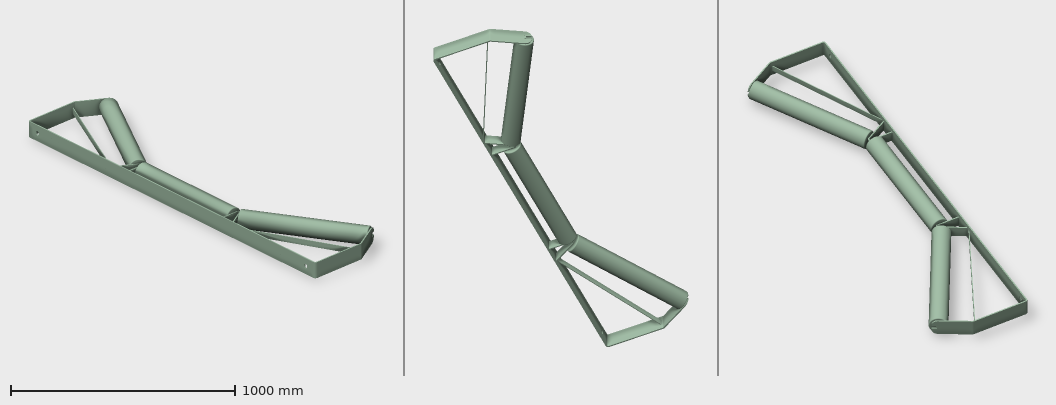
import cadquery as cq
import math


frame_length = 1890.0
bar_height = 80.0
bar_thickness = 6.0
frame_bend_radius = 10.0
trough_angle = 30.0

roller_diameter = 89.0
roller_length = 605.0
roller_edge_radius = 4.0
roller_gap = 4.0
shaft_diameter = 17.0

center_roller_y = 98.0
side_roller_x = 597.0
side_roller_y = 259.0
inner_end_z = -5.0
roller_drop = 8.0

leg_tip_reach = 32.0
leg_tip_radius = 30.0
bracket_top_y = 123.0
bracket_height = 51.0
bracket_bend_radius = 5.0

brace_thickness = 4.0
brace_height = 28.0
brace_foot_x = 406.0
brace_head_y = 268.0

hole_width = 17.0
hole_height = 23.0
hole_inset = 62.0

half_length = frame_length / 2
half_bar = bar_thickness / 2
slope = math.radians(trough_angle)
tilt = math.degrees(math.asin(roller_drop / roller_length))
support_offset = roller_length / 2 + roller_gap + half_bar
shaft_length = 2 * (support_offset + half_bar)
side_roller_z = inner_end_z + roller_drop / 2

along_x = cq.Vector(1, 0, 0)

axis_x, axis_y = -math.cos(slope), math.sin(slope)
leg_x, leg_y = math.sin(slope), math.cos(slope)


def on_left_side(along_axis, along_leg):
    """XY point given relative to the middle of the left roller."""
    return (
        -side_roller_x + along_axis * axis_x + along_leg * leg_x,
        side_roller_y + along_axis * axis_y + along_leg * leg_y,
    )


def sloped_leg_at_x(along_axis, x):
    """XY point where the sloped line at a distance along the roller axis reaches x."""
    start_x, start_y = on_left_side(along_axis, 0)
    return (x, start_y + (x - start_x) * leg_y / leg_x)


def sloped_leg_at_y(along_axis, y):
    """XY point where the sloped line at a distance along the roller axis reaches y."""
    start_x, start_y = on_left_side(along_axis, 0)
    return (start_x + (y - start_y) * leg_x / leg_y, y)


def mirrored(body):
    return body.mirror("YZ")


def bent_bar(points, height, bend_radius):
    """Flat bar standing on edge that follows the middle line through the points."""
    line = cq.Wire.makePolygon([cq.Vector(x, y, 0) for x, y in points])
    bends = line.Vertices()[1:-1]
    path = line.fillet(bend_radius, bends)
    direction = cq.Vector(points[1][0] - points[0][0], points[1][1] - points[0][1], 0)
    start = cq.Plane((*points[0], 0), xDir=(0, 0, 1), normal=direction.toTuple())
    return cq.Workplane(start).rect(height, bar_thickness).sweep(cq.Workplane(path))


def make_roller():
    """Roller along X, with rounded ends and a shaft sticking out at both ends."""
    shell = (
        cq.Workplane("XY")
        .cylinder(roller_length, roller_diameter / 2, direct=along_x)
        .edges("%CIRCLE")
        .fillet(roller_edge_radius)
    )
    return shell.union(make_shaft())


def make_shaft():
    return cq.Workplane("XY").cylinder(shaft_length, shaft_diameter / 2, direct=along_x)


def place_center(body):
    return body.translate((0, center_roller_y, inner_end_z))


def place_left(body):
    """Tilt a body lying along X so that its outer end is higher, then slope and move it."""
    return (
        body.rotate((0, 0, 0), (0, 1, 0), tilt)
        .rotate((0, 0, 0), (0, 0, 1), -trough_angle)
        .translate((-side_roller_x, side_roller_y, side_roller_z))
    )


def make_frame():
    """Base bar with an upright and a sloped leg at both ends, from one bent bar."""
    left = [
        on_left_side(support_offset, leg_tip_reach),
        sloped_leg_at_x(support_offset, -half_length + half_bar),
        (-half_length + half_bar, half_bar),
    ]
    right = [(-x, y) for x, y in reversed(left)]
    frame = round_leg_tips(bent_bar(left + right, bar_height, frame_bend_radius))
    slot = make_leg_slot()
    return frame.cut(slot).cut(mirrored(slot)).cut(make_mounting_holes())


def round_leg_tips(frame):
    tip_x, tip_y = on_left_side(support_offset, leg_tip_reach)
    for x in (tip_x, -tip_x):
        for z in (-bar_height / 2, bar_height / 2):
            corner = cq.selectors.NearestToPointSelector((x, tip_y, z))
            frame = frame.edges(corner).fillet(leg_tip_radius)
    return frame


def make_leg_slot():
    """Cutter for the slot that runs from the shaft seat out through the left leg's tip."""
    seat_z = side_roller_z + support_offset * math.sin(math.radians(tilt))
    seat_x, seat_y = on_left_side(support_offset, 0)
    seat = cq.Plane((seat_x, seat_y, seat_z), xDir=(leg_x, leg_y, 0), normal=(axis_x, axis_y, 0))
    slot_length = 2 * leg_tip_reach
    channel = (
        cq.Workplane(seat)
        .center(slot_length / 2, 0)
        .rect(slot_length, shaft_diameter)
        .extrude(bar_thickness, both=True)
    )
    return channel.union(place_left(make_shaft()))


def make_mounting_holes():
    hole_x = half_length - hole_inset
    return (
        cq.Workplane("XZ")
        .pushPoints([(-hole_x, 0), (hole_x, 0)])
        .slot2D(hole_height, hole_width, 90)
        .extrude(bar_thickness, both=True)
    )


def space_behind_base():
    """Block that fills the frame's inside, used to trim the ends of bars that meet it."""
    inside = half_length - bar_thickness
    return (
        cq.Workplane("XY")
        .rect(2 * inside, frame_length)
        .extrude(bar_height, both=True)
        .translate((0, frame_length / 2 + bar_thickness, 0))
    )


def make_left_bracket():
    """Bent bar with one leg beside the center roller and a sloped one beside the left roller."""
    top_y = bracket_top_y - half_bar
    bracket = bent_bar(
        [
            (-support_offset, 0),
            (-support_offset, top_y),
            sloped_leg_at_y(-support_offset, top_y),
            sloped_leg_at_y(-support_offset, 0),
        ],
        bracket_height,
        bracket_bend_radius,
    )
    bracket = bracket.translate((0, 0, inner_end_z))
    for shaft in (place_center(make_shaft()), place_left(make_shaft())):
        bracket = bracket.cut(shaft)
    return bracket.intersect(space_behind_base())


def make_left_brace():
    """Thin bar from the base bar up to the left upright."""
    foot = cq.Vector(-brace_foot_x, bar_thickness, 0)
    head = cq.Vector(-half_length + bar_thickness, brace_head_y, 0)
    line = head - foot
    brace = (
        cq.Workplane(cq.Plane(foot.add(head) / 2, xDir=line, normal=(0, 0, 1)))
        .rect(line.Length + 2 * bar_thickness, brace_thickness)
        .extrude(brace_height / 2, both=True)
    )
    return brace.intersect(space_behind_base())


frame = make_frame()
center_roller = place_center(make_roller())
left_bodies = [place_left(make_roller()), make_left_bracket(), make_left_brace()]

solids = [frame.solids().val(), center_roller.solids().val()]
for body in left_bodies:
    solids.append(body.solids().val())
    solids.append(mirrored(body).solids().val())

result = cq.Compound.makeCompound(solids)